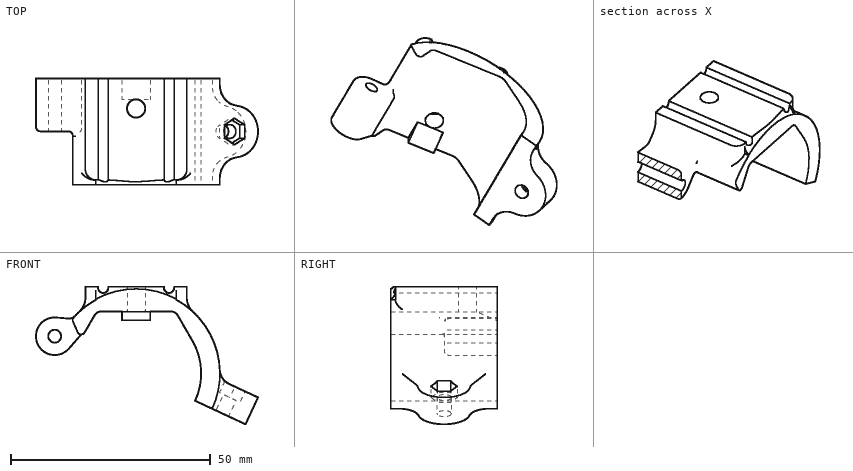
import cadquery as cq
import math

depth = 26.65
arm_outer_radius = 21.0
arm_inner_radius = 16.25
cut_angle = 25
flank_angle = 60
ceiling_height = 15.5
ceiling_fillet = 2.0
left_end_top = 13.5
left_end_bottom = 8.5
left_end_fillet = 1.0

pad_top = 21.7
pad_half_width = 12.7
pad_front = 1.2
pad_corner_radius = 2.6
pad_side_fillet = 5.05
pad_front_fillet = 2.0
groove_offset = 8.25
groove_diameter = 2.5
groove_depth = 1.55

pad_hole_diameter = 4.5
pad_hole_y = 19.1
seat_width = 7.1
seat_drop = 2.2

boss_x = -20.4
boss_z = 9.3
boss_radius = 4.75
boss_bore = 3.2
boss_front = depth / 2
boss_edge_fillet = 1.2
neck_top_angle = 85
neck_bottom_angle = -41
neck_bottom_length = 4.75
neck_fillet = 2.0

lug_radius = 6.5
lug_reach = 30.25
lug_thickness = 7.45
lug_side_fillet = 5.095
lug_top_fillet = 4.0
lug_bore = 3.5
nut_across_flats = 5.7
nut_depth = 3.0
nut_clearance = 6.7


def polar(radius, degrees):
    angle = math.radians(degrees)
    return radius * math.cos(angle), radius * math.sin(angle)


def extrude_y(outline, start, end):
    """Extrude an outline drawn in the XZ plane from Y = start to Y = end."""
    return outline.extrude(start - end).translate((0, start, 0))


def edges_at(body, points):
    """Pick the edges parallel to Y that pass nearest to the given XZ points."""
    picked = body.edges(cq.selectors.NearestToPointSelector((points[0][0], depth / 2, points[0][1])))
    for x, z in points[1:]:
        picked = picked.add(body.edges(cq.selectors.NearestToPointSelector((x, depth / 2, z))))
    return picked


def flank_x(z):
    slope = math.radians(flank_angle)
    return (arm_inner_radius - z * math.cos(slope)) / math.sin(slope)


def arm_circle_x(z):
    return math.sqrt(arm_outer_radius**2 - z**2)


left_end_upper = (-arm_circle_x(left_end_top), left_end_top)
left_end_lower = (-flank_x(left_end_bottom), left_end_bottom)


def make_arm():
    flank_start = 90 - flank_angle
    ceiling_right = (flank_x(ceiling_height), ceiling_height)
    ceiling_left = (-ceiling_right[0], ceiling_height)
    outline = (
        cq.Workplane("XZ")
        .moveTo(*polar(arm_inner_radius, -cut_angle))
        .lineTo(*polar(arm_outer_radius, -cut_angle))
        .threePointArc((0, arm_outer_radius), left_end_upper)
        .lineTo(*left_end_lower)
        .lineTo(*ceiling_left)
        .lineTo(*ceiling_right)
        .lineTo(*polar(arm_inner_radius, flank_start))
        .threePointArc((arm_inner_radius, 0), polar(arm_inner_radius, -cut_angle))
        .close()
    )
    arm = extrude_y(outline, 0, depth)
    arm = edges_at(arm, [ceiling_left, ceiling_right]).fillet(ceiling_fillet)
    return edges_at(arm, [left_end_upper, left_end_lower]).fillet(left_end_fillet)


side_fillet_x = pad_half_width + pad_side_fillet
side_fillet_z = math.sqrt((arm_outer_radius + pad_side_fillet) ** 2 - side_fillet_x**2)
side_fillet_foot = math.degrees(math.atan2(side_fillet_z, side_fillet_x))
foot_x, foot_z = polar(arm_outer_radius, side_fillet_foot)
fillet_mid = polar(pad_side_fillet, (180 + 180 + side_fillet_foot) / 2)
mid_x = side_fillet_x + fillet_mid[0]
mid_z = side_fillet_z + fillet_mid[1]


def make_pad():
    outline = (
        cq.Workplane("XZ")
        .moveTo(-foot_x, foot_z)
        .threePointArc((-mid_x, mid_z), (-pad_half_width, side_fillet_z))
        .lineTo(-pad_half_width, pad_top)
        .lineTo(pad_half_width, pad_top)
        .lineTo(pad_half_width, side_fillet_z)
        .threePointArc((mid_x, mid_z), (foot_x, foot_z))
        .threePointArc((0, (ceiling_height + arm_outer_radius) / 2), (-foot_x, foot_z))
        .close()
    )
    pad = extrude_y(outline, 0, depth)
    return pad.cut(front_relief()).cut(corner_relief(1)).cut(corner_relief(-1))


def front_relief():
    """Space in front of the pad: a flat wall with a fillet running round the arm."""
    fillet_y = pad_front - pad_front_fillet
    fillet_r = arm_outer_radius + pad_front_fillet
    fillet_mid_x, fillet_mid_y = polar(pad_front_fillet, -45)
    outside = 2 * arm_outer_radius
    return (
        cq.Workplane("XY")
        .moveTo(outside, fillet_y)
        .lineTo(outside, pad_front)
        .lineTo(fillet_r, pad_front)
        .threePointArc((fillet_r + fillet_mid_y, fillet_y - fillet_mid_y), (arm_outer_radius, fillet_y))
        .close()
        .revolve(360, (0, 0, 0), (0, 1, 0))
    )


def corner_relief(side):
    """Space outside a rounded front corner whose flare continues the side fillet."""
    centre_x = pad_half_width - pad_corner_radius
    centre_y = pad_front + pad_corner_radius
    flare = (
        cq.Workplane("XZ")
        .moveTo(0, foot_z)
        .lineTo(foot_x - centre_x, foot_z)
        .threePointArc((mid_x - centre_x, mid_z), (pad_corner_radius, side_fillet_z))
        .lineTo(pad_corner_radius, pad_top)
        .lineTo(0, pad_top)
        .close()
        .revolve(360, (0, 0, 0), (0, 1, 0))
    )
    quadrant = cq.Workplane("XY").box(
        2 * pad_corner_radius, centre_y, pad_top - foot_z, centered=False
    ).translate((0, -centre_y, foot_z))
    relief = quadrant.cut(flare).translate((centre_x, centre_y, 0))
    return relief if side > 0 else relief.mirror("YZ")


neck_along = polar(1, neck_top_angle - 90)
neck_out = polar(boss_radius + neck_fillet, neck_top_angle)
offset_start = (boss_x + neck_out[0], boss_z + neck_out[1])
start_along = offset_start[0] * neck_along[0] + offset_start[1] * neck_along[1]
start_distance = math.hypot(*offset_start)
neck_run = -start_along - math.sqrt(
    start_along**2 - start_distance**2 + (arm_outer_radius + neck_fillet) ** 2
)
neck_centre = (
    offset_start[0] + neck_run * neck_along[0],
    offset_start[1] + neck_run * neck_along[1],
)
neck_foot_angle = math.degrees(math.atan2(neck_centre[1], neck_centre[0]))


def make_boss():
    """Pivot boss and neck; the front steps forward through a fillet to the arm's left end."""
    top = polar(boss_radius, neck_top_angle)
    bottom = polar(boss_radius, neck_bottom_angle)
    bottom_run = polar(neck_bottom_length, neck_bottom_angle + 90)
    arc_start = polar(neck_fillet, neck_top_angle + 180)
    arc_mid = polar(neck_fillet, (neck_top_angle + 180 + neck_foot_angle + 180) / 2)
    outline = (
        cq.Workplane("XZ")
        .moveTo(boss_x + top[0], boss_z + top[1])
        .threePointArc((boss_x - boss_radius, boss_z), (boss_x + bottom[0], boss_z + bottom[1]))
        .lineTo(boss_x + bottom[0] + bottom_run[0], boss_z + bottom[1] + bottom_run[1])
        .lineTo(*polar(arm_outer_radius, neck_foot_angle))
        .threePointArc(
            (neck_centre[0] + arc_mid[0], neck_centre[1] + arc_mid[1]),
            (neck_centre[0] + arc_start[0], neck_centre[1] + arc_start[1]),
        )
        .close()
    )
    step_front = boss_front - boss_edge_fillet
    boss = extrude_y(outline, step_front, depth).cut(step_relief())
    round_edge = boss.edges(cq.selectors.NearestToPointSelector((boss_x, boss_front, boss_z)))
    return round_edge.fillet(boss_edge_fillet)


def step_relief():
    """Space in front of the boss, bounded by a fillet running along the arm's left end."""
    end_run = (left_end_lower[0] - left_end_upper[0], left_end_lower[1] - left_end_upper[1])
    end_plane = cq.Plane(
        origin=(left_end_upper[0], boss_front, left_end_upper[1]),
        xDir=(end_run[1], 0, -end_run[0]),
        normal=(end_run[0], 0, end_run[1]),
    )
    arc_mid = polar(boss_edge_fillet, 45)
    reach = 4 * boss_radius
    return (
        cq.Workplane(end_plane)
        .moveTo(reach, 0)
        .lineTo(boss_edge_fillet, 0)
        .threePointArc(
            (boss_edge_fillet - arc_mid[0], arc_mid[1] - boss_edge_fillet),
            (0, -boss_edge_fillet),
        )
        .lineTo(reach, -boss_edge_fillet)
        .close()
        .extrude(reach, both=True)
    )


lug_centre = lug_reach - lug_radius
lug_plane = cq.Plane(
    origin=(0, depth / 2, 0),
    xDir=(math.cos(math.radians(cut_angle)), 0, -math.sin(math.radians(cut_angle))),
    normal=(math.sin(math.radians(cut_angle)), 0, math.cos(math.radians(cut_angle))),
)


lug_side_plane = cq.Plane(origin=(0, 0, 0), xDir=lug_plane.xDir, normal=(0, -1, 0))

top_fillet_z = lug_thickness + lug_top_fillet
top_fillet_x = math.sqrt((arm_outer_radius + lug_top_fillet) ** 2 - top_fillet_z**2)
top_fillet_foot = math.degrees(math.atan2(top_fillet_z, top_fillet_x))
root_radius = (arm_inner_radius + arm_outer_radius) / 2


def make_lug():
    """Rounded lug with side fillets into the arm, cut off along the filleted top face."""
    sides = make_tall_lug()
    arc_mid = polar(lug_top_fillet, (180 + top_fillet_foot + 270) / 2)
    foot = polar(arm_outer_radius, top_fillet_foot)
    profile = (
        cq.Workplane(lug_side_plane)
        .moveTo(root_radius, 0)
        .lineTo(lug_reach, 0)
        .lineTo(lug_reach, lug_thickness)
        .lineTo(top_fillet_x, lug_thickness)
        .threePointArc((top_fillet_x + arc_mid[0], top_fillet_z + arc_mid[1]), foot)
        .lineTo(*polar(root_radius, top_fillet_foot))
        .threePointArc(polar(root_radius, top_fillet_foot / 2), (root_radius, 0))
        .close()
        .extrude(-depth)
    )
    return sides.intersect(profile)


def make_tall_lug():
    """Lug carried up past its top face, with fillets where its sides meet the arm."""
    wall = (
        cq.Workplane(lug_side_plane)
        .moveTo(0, 0)
        .lineTo(arm_outer_radius, 0)
        .threePointArc(polar(arm_outer_radius, 45), (0, arm_outer_radius))
        .close()
        .extrude(-depth)
    )
    lug = (
        cq.Workplane(lug_plane)
        .moveTo(arm_inner_radius / 2, -lug_radius)
        .lineTo(lug_centre, -lug_radius)
        .threePointArc((lug_reach, 0), (lug_centre, lug_radius))
        .lineTo(arm_inner_radius / 2, lug_radius)
        .close()
        .extrude(top_fillet_z)
    )
    root = polar(arm_outer_radius, top_fillet_foot / 2)
    corners = [
        lug_plane.toWorldCoords((root[0], side * lug_radius, root[1])).toTuple()
        for side in (-1, 1)
    ]
    body = wall.union(lug)
    root_edges = [
        body.edges(cq.selectors.NearestToPointSelector(corner)).val() for corner in corners
    ]
    return body.newObject(root_edges).fillet(lug_side_fillet)


def lug_cuts():
    bore = cq.Workplane(lug_plane).center(lug_centre, 0).circle(lug_bore / 2).extrude(lug_thickness)
    nut_diameter = nut_across_flats / math.cos(math.radians(30))
    nut = (
        cq.Workplane(lug_plane)
        .workplane(offset=lug_thickness - nut_depth)
        .center(lug_centre, 0)
        .transformed(rotate=(0, 0, 30))
        .polygon(6, nut_diameter)
        .extrude(nut_depth + nut_clearance)
    )
    return bore.union(nut)


def make_seat():
    """Wedge under the ceiling, behind the pad hole, deepening towards the back face."""
    front = pad_hole_y + pad_hole_diameter / 2
    return (
        cq.Workplane("YZ")
        .polyline([
            (front, ceiling_height),
            (depth, ceiling_height - seat_drop),
            (depth, ceiling_height),
        ])
        .close()
        .extrude(seat_width / 2, both=True)
    )


def make_groove(x):
    radius = groove_diameter / 2
    centre_z = pad_top - groove_depth + radius
    round_bottom = extrude_y(cq.Workplane("XZ").center(x, centre_z).circle(radius), 0, depth)
    mouth = extrude_y(
        cq.Workplane("XZ").center(x, centre_z + radius / 2).rect(groove_diameter, radius), 0, depth
    )
    return round_bottom.union(mouth)


body = make_arm().union(make_boss())
result = body.union(make_lug()).union(make_pad()).union(make_seat())
result = result.cut(lug_cuts())
for groove_x in (-groove_offset, groove_offset):
    result = result.cut(make_groove(groove_x))
pad_hole = cq.Workplane("XY").center(0, pad_hole_y).circle(pad_hole_diameter / 2).extrude(pad_top)
result = result.cut(pad_hole)
boss_hole = extrude_y(cq.Workplane("XZ").center(boss_x, boss_z).circle(boss_bore / 2), 0, depth)
result = result.cut(boss_hole)